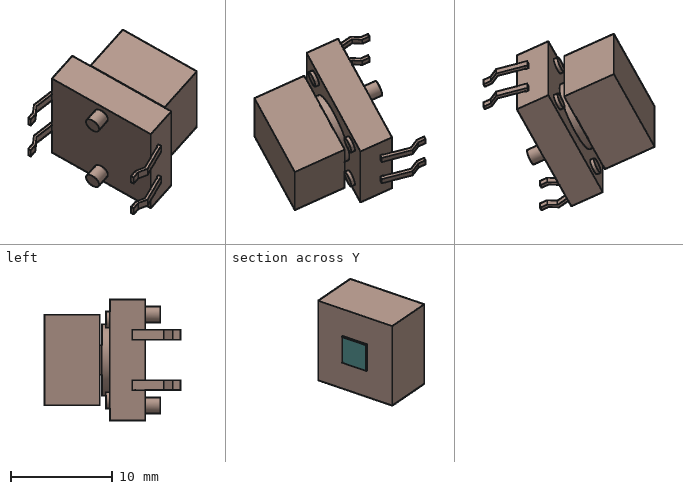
import cadquery as cq


HOUSING_SIDE = 12.0
HOUSING_DEPTH = 3.49

BOSS_DIAMETER = 1.6

POST_LENGTH = 1.5
POST_OFFSET_Z = 4.5

CORNER_BOSS_HEIGHT = 0.4
CORNER_BOSS_OFFSET = 4.0

DISC_DIAMETER = 7.1
DISC_HEIGHT = 0.8
STEM_SIDE = 2.95
STEM_HEIGHT = 0.2

CAP_SIDE = 9.0
CAP_DEPTH = 5.5

LEAD_SPAN = 13.8
LEAD_THICKNESS = 0.32
LEAD_WIDTH = 1.0
LEAD_OFFSET_Z = 2.5
LEAD_TOP_Y = 1.3
LEAD_KNEE_Y = -1.82
LEAD_FOOT_Y = -2.7
LEAD_TIP_Y = -3.5
LEAD_FOOT_INNER_X = 6.09


def cylinder_along_y(diameter, start_y, height, points):
    """Cylinders rising in +Y from start_y, centred at the given (x, z) points."""
    plane = cq.Workplane("ZX").workplane(offset=start_y)
    return plane.pushPoints([(z, x) for x, z in points]).circle(diameter / 2).extrude(height)


def square_along_y(side, start_y, height):
    """Square block rising in +Y from start_y."""
    return cq.Workplane("ZX").workplane(offset=start_y).rect(side, side).extrude(height)


def make_lead(side, center_z):
    """One bent strip; side is +1 or -1 for the +X or -X face of the housing."""
    housing_x = HOUSING_SIDE / 2
    inner_knee_x = LEAD_SPAN / 2 - LEAD_THICKNESS
    lean = (inner_knee_x - housing_x) / (LEAD_TOP_Y - LEAD_KNEE_Y)
    stub_y = LEAD_TOP_Y - LEAD_THICKNESS
    inner_bends = [
        (inner_knee_x, LEAD_KNEE_Y),
        (LEAD_FOOT_INNER_X, LEAD_FOOT_Y),
        (LEAD_FOOT_INNER_X, LEAD_TIP_Y),
    ]
    outer_bends = [(x + LEAD_THICKNESS, y) for x, y in reversed(inner_bends)]
    profile = [
        (housing_x, LEAD_TOP_Y),
        (housing_x, stub_y),
        (housing_x + lean * LEAD_THICKNESS, stub_y),
        *inner_bends,
        *outer_bends,
        (housing_x + LEAD_THICKNESS, LEAD_TOP_Y),
    ]
    outline = [(side * x, y) for x, y in profile]
    start_z = center_z - LEAD_WIDTH / 2
    return cq.Workplane("XY").workplane(offset=start_z).polyline(outline).close().extrude(LEAD_WIDTH)


def make_housing():
    """Square block with two posts, four corner bosses and the four leads fixed to it."""
    posts = [(0, -POST_OFFSET_Z), (0, POST_OFFSET_Z)]
    sides = (-CORNER_BOSS_OFFSET, CORNER_BOSS_OFFSET)
    corners = [(x, z) for x in sides for z in sides]
    body = square_along_y(HOUSING_SIDE, 0, HOUSING_DEPTH)
    body = body.union(cylinder_along_y(BOSS_DIAMETER, -POST_LENGTH, POST_LENGTH, posts))
    body = body.union(cylinder_along_y(BOSS_DIAMETER, HOUSING_DEPTH, CORNER_BOSS_HEIGHT, corners))
    for side in (-1, 1):
        for center_z in (-LEAD_OFFSET_Z, LEAD_OFFSET_Z):
            body = body.union(make_lead(side, center_z))
    return body


def make_plunger():
    """Round disc on the housing's top, with a square stem that carries the cap."""
    disc = cylinder_along_y(DISC_DIAMETER, HOUSING_DEPTH, DISC_HEIGHT, [(0, 0)])
    return disc.union(square_along_y(STEM_SIDE, HOUSING_DEPTH + DISC_HEIGHT, STEM_HEIGHT))


def make_cap():
    """Square key cap seated on the end of the stem."""
    return square_along_y(CAP_SIDE, HOUSING_DEPTH + DISC_HEIGHT + STEM_HEIGHT, CAP_DEPTH)


housing = make_housing()
plunger = make_plunger()
cap = make_cap()

result = cq.Compound.makeCompound([housing.val(), plunger.val(), cap.val()])